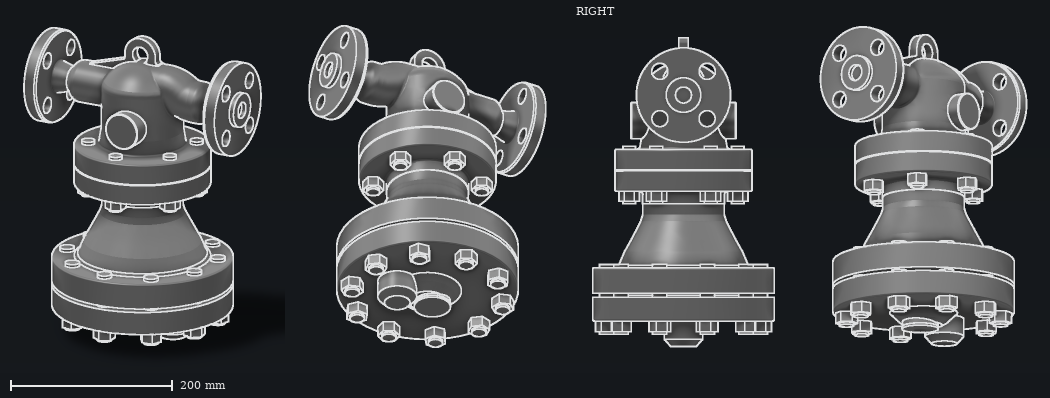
import cadquery as cq
import math

TOTAL_HEIGHT = 382.0
HALF_LENGTH = 141.55
PIPE_Z = 311.0

LARGE_FLANGE_DIA = 225.0
LARGE_BOTTOM_Z = 31.5
LARGE_LOWER_TOP_Z = 61.0
LARGE_UPPER_BOTTOM_Z = 65.7
LARGE_TOP_Z = 97.8
LARGE_GASKET_DIA = 162.5
LARGE_SPIGOT_DIA = 160.0
LARGE_SPIGOT_TOP_Z = 63.5
LARGE_BOLT_COUNT = 10
LARGE_BOLT_CIRCLE_DIA = 190.2
LARGE_BOLT_DIA = 18.0
LARGE_NUT_FLATS = 23.5
LARGE_NUT_HEIGHT = 13.0

SMALL_FLANGE_DIA = 170.0
SMALL_BOTTOM_Z = 191.8
SMALL_LOWER_TOP_Z = 217.5
SMALL_UPPER_BOTTOM_Z = 218.5
SMALL_TOP_Z = 244.0
SMALL_GASKET_DIA = 118.0
SMALL_BOLT_COUNT = 6
SMALL_BOLT_CIRCLE_DIA = 134.0
SMALL_BOLT_DIA = 16.0
SMALL_NUT_FLATS = 22.0
SMALL_NUT_HEIGHT = 12.2

FLANGE_EDGE_FILLET = 2.5
BOLT_HEAD_PROJECTION = 4.0
BOLT_TIP_PROJECTION = 3.0

NECK_DIA = 101.0
NECK_BOTTOM_Z = 163.5
COLLAR_DIA = 102.0
COLLAR_BOTTOM_Z = 177.0
NECK_FILLET = 3.5
CONE_TOP_RADIUS = 53.0
CONE_TOP_Z = 155.0
CONE_BOTTOM_RADIUS = 73.0
CONE_BOTTOM_Z = 117.5
SKIRT_RADIUS = 80.2
SKIRT_BOTTOM_Z = 101.0
SKIRT_FILLET = 4.2

BODY_TOP_RADIUS = 50.8
BODY_BASE_RADIUS = 51.0
BODY_BASE_Z = 263.2
FOOT_RADIUS = 54.0
FOOT_FILLET = 4.0
FOOT_Z = SMALL_TOP_Z + FOOT_FILLET
SHOULDER_FILLET = 16.0
DOME_TOP_Z = 352.0
DOME_RADIUS = 58.0
DOME_EDGE_SLOPE = math.asin((BODY_TOP_RADIUS - SHOULDER_FILLET) / (DOME_RADIUS - SHOULDER_FILLET))
DOME_EDGE_RADIUS = DOME_RADIUS * math.sin(DOME_EDGE_SLOPE)
DOME_EDGE_Z = DOME_TOP_Z - DOME_RADIUS * (1 - math.cos(DOME_EDGE_SLOPE))
SHOULDER_Z = DOME_EDGE_Z - SHOULDER_FILLET * math.cos(DOME_EDGE_SLOPE)

PORT_DIA = 45.0
PORT_HALF_SPAN = 65.0
PORT_X = 7.0
PORT_Z = 279.2
PORT_EDGE_CHAMFER = 0.8

PIPE_DIA = 53.0
PIPE_RADIUS = PIPE_DIA / 2
END_FLANGE_DIA = 117.0
END_FLANGE_THICKNESS = 16.8
END_FLANGE_BEVEL_LENGTH = 2.5
END_FLANGE_BEVEL_DEPTH = 1.0
RAISED_FACE_DIA = 42.8
RAISED_FACE_HEIGHT = 6.0
BORE_DIA = 20.0
END_HOLE_COUNT = 4
END_HOLE_DIA = 20.0
END_HOLE_CIRCLE_DIA = 82.5
HUB_FILLET = 2.0
HUB_RADIUS = 20.2
HUB_LENGTH = 15.0
THROAT_RADIUS = 16.0
THROAT_LENGTH = 2.5
REDUCER_ANGLE = 45
REDUCER_BLEND_RADIUS = 11.0

BEND_START_X = 34.0
BEND_ANGLE = 34.5
BEND_RADIUS = 38.2
BEND_END_X = BEND_START_X + 2 * BEND_RADIUS * math.sin(math.radians(BEND_ANGLE))
PIPE_ROOT_FILLET = 3.5

LUG_DIA = 43.5
LUG_HOLE_DIA = 21.5
LUG_THICKNESS = 12.0
LUG_FOOT_FILLET = 4.0
LUG_BASE_Z = 321.0
RIB_END_X = -72.0
RIB_SLOPE = 0.29

BOSS_TOP_RADIUS = 42.0
BOSS_MIDDLE_RADIUS = 34.0
BOSS_MIDDLE_Z = 24.0
BOSS_RIM_RADIUS = 30.0
BOSS_RIM_Z = 20.2
BOSS_END_RADIUS = 23.0
BOSS_END_Z = 16.0
PLUG_DIA = 45.0
PLUG_NECK_DIA = 44.5
PLUG_X = -7.0
PLUG_BOTTOM_Z = 10.0
PLUG_SHOULDER_Z = 13.0
DRAIN_DIA = 48.0
DRAIN_X = 43.0
DRAIN_TIP_DIA = 31.7
DRAIN_BEVEL_Z = 9.0


def vertical_cylinder(diameter, bottom_z, top_z, x=0.0):
    return cq.Workplane("XY", origin=(x, 0, bottom_z)).circle(diameter / 2).extrude(top_z - bottom_z)


def flange_pair(diameter, bottom_z, lower_top_z, upper_bottom_z, top_z, gasket_dia):
    """Two discs with rounded outer edges, held apart by a gasket."""
    lower = vertical_cylinder(diameter, bottom_z, lower_top_z).faces("<Z").edges().fillet(FLANGE_EDGE_FILLET)
    upper = vertical_cylinder(diameter, upper_bottom_z, top_z).faces(">Z").edges().fillet(FLANGE_EDGE_FILLET)
    return lower.union(upper).union(vertical_cylinder(gasket_dia, lower_top_z, upper_bottom_z))


def bolt_ring(count, circle_dia, bolt_dia, nut_flats, nut_height, flange_bottom_z, flange_top_z):
    """Studs through a flange pair, each with a hexagon nut underneath."""
    nut_bottom_z = flange_bottom_z - nut_height
    stud = vertical_cylinder(
        bolt_dia, nut_bottom_z - BOLT_TIP_PROJECTION, flange_top_z + BOLT_HEAD_PROJECTION, circle_dia / 2
    )
    nut_corners = nut_flats / math.cos(math.pi / 6)
    nut = cq.Workplane("XY", origin=(circle_dia / 2, 0, nut_bottom_z)).polygon(6, nut_corners).extrude(nut_height)
    bolt = stud.union(nut)
    ring = cq.Workplane("XY")
    for i in range(count):
        ring = ring.add(bolt.rotate((0, 0, 0), (0, 0, 1), 90 + i * 360 / count))
    return ring.combine()


def conical_body():
    """Neck, cone and rounded skirt joining the two flange pairs."""
    neck_r = NECK_DIA / 2
    collar_r = COLLAR_DIA / 2
    return (
        cq.Workplane("XZ")
        .moveTo(0, LARGE_TOP_Z)
        .lineTo(SKIRT_RADIUS + SKIRT_FILLET, LARGE_TOP_Z)
        .lineTo(SKIRT_RADIUS, SKIRT_BOTTOM_Z)
        .lineTo(CONE_BOTTOM_RADIUS, CONE_BOTTOM_Z)
        .lineTo(CONE_TOP_RADIUS, CONE_TOP_Z)
        .lineTo(neck_r, NECK_BOTTOM_Z)
        .lineTo(neck_r, COLLAR_BOTTOM_Z)
        .lineTo(collar_r, COLLAR_BOTTOM_Z)
        .lineTo(collar_r, SMALL_BOTTOM_Z - NECK_FILLET)
        .radiusArc((collar_r + NECK_FILLET, SMALL_BOTTOM_Z), NECK_FILLET)
        .lineTo(0, SMALL_BOTTOM_Z)
        .close()
        .revolve(360, (0, 0, 0), (0, 1, 0))
    )


def domed_body():
    """Slightly tapered wall with a flared foot, a rounded shoulder and a spherical cap."""
    return (
        cq.Workplane("XZ")
        .moveTo(0, SMALL_TOP_Z)
        .lineTo(FOOT_RADIUS + FOOT_FILLET, SMALL_TOP_Z)
        .radiusArc((FOOT_RADIUS, FOOT_Z), FOOT_FILLET)
        .lineTo(BODY_BASE_RADIUS, BODY_BASE_Z)
        .lineTo(BODY_TOP_RADIUS, SHOULDER_Z)
        .radiusArc((DOME_EDGE_RADIUS, DOME_EDGE_Z), -SHOULDER_FILLET)
        .radiusArc((0, DOME_TOP_Z), -DOME_RADIUS)
        .close()
        .revolve(360, (0, 0, 0), (0, 1, 0))
    )


def side_ports():
    return (
        cq.Workplane("XZ", origin=(PORT_X, 0, PORT_Z))
        .circle(PORT_DIA / 2)
        .extrude(PORT_HALF_SPAN, both=True)
        .faces("<Y or >Y")
        .edges()
        .chamfer(PORT_EDGE_CHAMFER)
    )


def pipe_end(inner_x):
    """Flanged pipe end on the -X side, running from its end face to inner_x."""
    flange_face_x = RAISED_FACE_HEIGHT - HALF_LENGTH
    flange_back_x = flange_face_x + END_FLANGE_THICKNESS
    hub_x = flange_back_x + HUB_FILLET
    throat_x = hub_x + HUB_LENGTH
    reducer_x = throat_x + THROAT_LENGTH
    angle = math.radians(REDUCER_ANGLE)
    blend_r = PIPE_RADIUS - REDUCER_BLEND_RADIUS * (1 - math.cos(angle))
    blend_x = reducer_x + (blend_r - THROAT_RADIUS) / math.tan(angle)
    pipe_x = blend_x + REDUCER_BLEND_RADIUS * math.sin(angle)
    flange_r = END_FLANGE_DIA / 2
    body = (
        cq.Workplane("XY")
        .moveTo(-HALF_LENGTH, 0)
        .lineTo(-HALF_LENGTH, RAISED_FACE_DIA / 2)
        .lineTo(flange_face_x, RAISED_FACE_DIA / 2)
        .lineTo(flange_face_x, flange_r)
        .lineTo(flange_back_x - END_FLANGE_BEVEL_LENGTH, flange_r)
        .lineTo(flange_back_x, flange_r - END_FLANGE_BEVEL_DEPTH)
        .lineTo(flange_back_x, HUB_RADIUS + HUB_FILLET)
        .radiusArc((hub_x, HUB_RADIUS), -HUB_FILLET)
        .lineTo(throat_x, THROAT_RADIUS)
        .lineTo(reducer_x, THROAT_RADIUS)
        .lineTo(blend_x, blend_r)
        .radiusArc((pipe_x, PIPE_RADIUS), REDUCER_BLEND_RADIUS)
        .lineTo(inner_x, PIPE_RADIUS)
        .lineTo(inner_x, 0)
        .close()
        .revolve(360, (0, 0, 0), (1, 0, 0))
    )
    bore = cq.Workplane("YZ", origin=(-HALF_LENGTH, 0, 0)).circle(BORE_DIA / 2).extrude(RAISED_FACE_HEIGHT)
    bolt_holes = (
        cq.Workplane("YZ", origin=(flange_face_x, 0, 0))
        .polarArray(END_HOLE_CIRCLE_DIA / 2, 180 / END_HOLE_COUNT, 360, END_HOLE_COUNT)
        .circle(END_HOLE_DIA / 2)
        .extrude(END_FLANGE_THICKNESS)
    )
    return body.cut(bore).cut(bolt_holes).translate((0, 0, PIPE_Z))


def offset_bend():
    """S-shaped pipe leaving the dome horizontally and dropping to the pipe height."""
    angle = math.radians(BEND_ANGLE)
    half_drop = BEND_RADIUS * (1 - math.cos(angle))
    middle_x = (BEND_START_X + BEND_END_X) / 2
    middle_z = PIPE_Z + half_drop
    upper_z = middle_z + half_drop
    path = (
        cq.Workplane("XZ")
        .moveTo(0, upper_z)
        .lineTo(BEND_START_X, upper_z)
        .radiusArc((middle_x, middle_z), BEND_RADIUS)
        .radiusArc((BEND_END_X, PIPE_Z), -BEND_RADIUS)
    )
    return cq.Workplane("YZ", origin=(0, 0, upper_z)).circle(PIPE_RADIUS).sweep(path)


def filleted_joint(body, branch, region):
    """Join a branch to the body and round the intersection curves centred inside a box-shaped region."""
    joined = body.union(branch)
    return joined.edges("%BSPLINE").edges(cq.selectors.BoxSelector(*region)).fillet(PIPE_ROOT_FILLET)


def lifting_lug():
    """Upright eye on the dome with a sloping rib down to the left-hand pipe."""
    lug_r = LUG_DIA / 2
    eye_z = TOTAL_HEIGHT - lug_r
    rib_start_z = PIPE_Z + PIPE_RADIUS
    rib_top_z = rib_start_z + RIB_SLOPE * (-lug_r - LUG_FOOT_FILLET - RIB_END_X)
    return (
        cq.Workplane("XZ")
        .moveTo(RIB_END_X, LUG_BASE_Z)
        .lineTo(RIB_END_X, rib_start_z)
        .lineTo(-lug_r - LUG_FOOT_FILLET, rib_top_z)
        .radiusArc((-lug_r, rib_top_z + LUG_FOOT_FILLET), -LUG_FOOT_FILLET)
        .lineTo(-lug_r, eye_z)
        .threePointArc((0, TOTAL_HEIGHT), (lug_r, eye_z))
        .lineTo(lug_r, DOME_TOP_Z + LUG_FOOT_FILLET)
        .radiusArc((lug_r + LUG_FOOT_FILLET, DOME_TOP_Z), -LUG_FOOT_FILLET)
        .lineTo(lug_r + LUG_FOOT_FILLET, LUG_BASE_Z)
        .close()
        .moveTo(0, eye_z)
        .circle(LUG_HOLE_DIA / 2)
        .extrude(LUG_THICKNESS / 2, both=True)
    )


def underside():
    """Tapered centre boss with a plug, and a bevelled drain beside it."""
    boss = (
        cq.Workplane("XZ")
        .moveTo(0, LARGE_BOTTOM_Z)
        .lineTo(BOSS_TOP_RADIUS, LARGE_BOTTOM_Z)
        .lineTo(BOSS_MIDDLE_RADIUS, BOSS_MIDDLE_Z)
        .lineTo(BOSS_RIM_RADIUS, BOSS_RIM_Z)
        .lineTo(BOSS_END_RADIUS, BOSS_END_Z)
        .lineTo(0, BOSS_END_Z)
        .close()
        .revolve(360, (0, 0, 0), (0, 1, 0))
    )
    plug_neck = vertical_cylinder(PLUG_NECK_DIA, PLUG_SHOULDER_Z, LARGE_BOTTOM_Z, PLUG_X)
    plug_head = vertical_cylinder(PLUG_DIA, PLUG_BOTTOM_Z, PLUG_SHOULDER_Z, PLUG_X)
    bevel_width = (DRAIN_DIA - DRAIN_TIP_DIA) / 2
    drain = vertical_cylinder(DRAIN_DIA, 0, LARGE_BOTTOM_Z, DRAIN_X)
    drain = drain.faces("<Z").edges().chamfer(DRAIN_BEVEL_Z, bevel_width)
    return boss.union(plug_neck).union(plug_head).union(drain)


large_flanges = flange_pair(
    LARGE_FLANGE_DIA, LARGE_BOTTOM_Z, LARGE_LOWER_TOP_Z, LARGE_UPPER_BOTTOM_Z, LARGE_TOP_Z, LARGE_SPIGOT_DIA
)
large_gasket = vertical_cylinder(LARGE_GASKET_DIA, LARGE_SPIGOT_TOP_Z, LARGE_UPPER_BOTTOM_Z)
small_flanges = flange_pair(
    SMALL_FLANGE_DIA, SMALL_BOTTOM_Z, SMALL_LOWER_TOP_Z, SMALL_UPPER_BOTTOM_Z, SMALL_TOP_Z, SMALL_GASKET_DIA
)
large_bolts = bolt_ring(
    LARGE_BOLT_COUNT, LARGE_BOLT_CIRCLE_DIA, LARGE_BOLT_DIA,
    LARGE_NUT_FLATS, LARGE_NUT_HEIGHT, LARGE_BOTTOM_Z, LARGE_TOP_Z,
)
small_bolts = bolt_ring(
    SMALL_BOLT_COUNT, SMALL_BOLT_CIRCLE_DIA, SMALL_BOLT_DIA,
    SMALL_NUT_FLATS, SMALL_NUT_HEIGHT, SMALL_BOTTOM_Z, SMALL_TOP_Z,
)
left_joint_region = ((-BODY_BASE_RADIUS, -PIPE_RADIUS, 0), (-PIPE_RADIUS, PIPE_RADIUS, TOTAL_HEIGHT))
bend_joint_region = ((BEND_START_X, -PIPE_RADIUS, 0), (BODY_BASE_RADIUS, PIPE_RADIUS, SHOULDER_Z))
upper_body = filleted_joint(domed_body(), pipe_end(0), left_joint_region)
upper_body = filleted_joint(upper_body, offset_bend(), bend_joint_region)
right_pipe = pipe_end(-BEND_END_X).mirror("YZ")

result = (
    upper_body
    .union(right_pipe)
    .union(side_ports())
    .union(lifting_lug())
    .union(small_flanges)
    .union(conical_body())
    .union(large_flanges)
    .union(large_gasket)
    .union(underside())
    .union(small_bolts)
    .union(large_bolts)
)